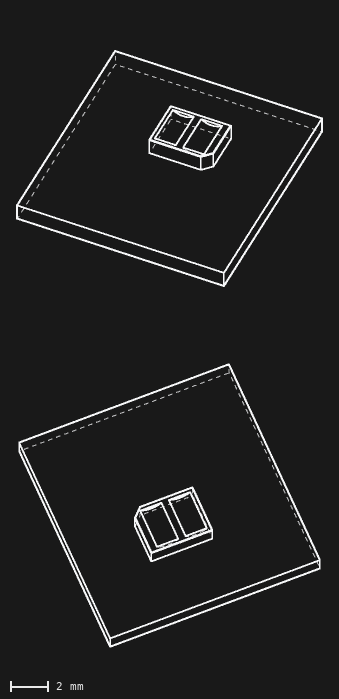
import cadquery as cq

plate_length_x = 12.0
plate_length_y = 12.5
plate_height = 1.0

block_left = 4.75
block_front = 6.4
block_length_x = 3.5
block_length_y = 2.75
block_height = 1.0
corner_cut = 0.5
top_bevel = 0.02

trough_width = 1.21
trough_length = 2.3
trough_depth = 0.22
trough_spacing = 1.64
first_trough_offset = 0.84

block_top = plate_height + block_height
block_back = block_front + block_length_y
trough_back = block_back - (block_length_y - trough_length) / 2


def make_plate():
    return cq.Workplane("XY").box(plate_length_x, plate_length_y, plate_height, centered=False)


def make_block():
    """Block with its front right corner cut off and its top rim bevelled."""
    block = (
        cq.Workplane("XY")
        .box(block_length_x, block_length_y, block_height, centered=False)
        .translate((block_left, block_front, plate_height))
    )
    block = block.edges("|Z and >X and <Y").chamfer(corner_cut)
    return block.faces(">Z").edges().chamfer(top_bevel)


def make_trough(center_x):
    """Cutter with a round floor made of two arcs that meet along the lowest line."""
    half_width = trough_width / 2
    radius = (half_width**2 + trough_depth**2) / (2 * trough_depth)
    arc_mid_x = half_width / 2
    arc_mid_z = block_top - trough_depth + radius - (radius**2 - arc_mid_x**2) ** 0.5
    floor_point = (center_x, block_top - trough_depth)
    return (
        cq.Workplane("XZ", origin=(0, trough_back, 0))
        .moveTo(center_x - half_width, block_top)
        .threePointArc((center_x - arc_mid_x, arc_mid_z), floor_point)
        .threePointArc((center_x + arc_mid_x, arc_mid_z), (center_x + half_width, block_top))
        .close()
        .extrude(trough_length)
    )


result = make_plate().union(make_block())
for index in range(2):
    trough_center = block_left + first_trough_offset + index * trough_spacing
    result = result.cut(make_trough(trough_center))